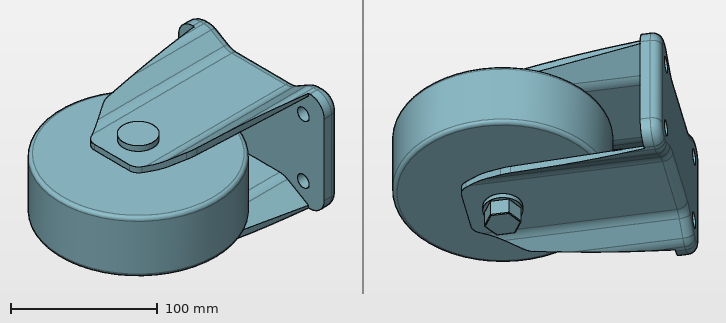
import cadquery as cq
import math


overall_length = 198.0

wheel_diameter = 150.0
wheel_width = 50.0
wheel_edge_radius = 3.0

plate_width = 140.2
plate_height = 96.2
plate_thickness = 14.0
plate_corner_radius = 13.9
plate_edge_radius = plate_thickness / 2
plate_back_y = overall_length - wheel_diameter / 2
plate_front_y = plate_back_y - plate_thickness
plate_top_z = plate_height / 2

hole_diameter = 11.0
hole_spacing_x = 100.0
hole_spacing_z = 56.0

leg_thickness = 5.0
slope_angle = math.radians(30)
waist_flat_half = 26.0
waist_radius = 15.0
shoulder_half = 52.9
shoulder_radius = 13.9

leg_root_half = 55.0
leg_knee_half = 42.2
leg_knee_y = 9.7
leg_knee_radius = 20.0
leg_tip_half = 22.0
leg_tip_y = -25.3
leg_tip_radius = 9.0

axle_diameter = 20.0
head_diameter = 28.5
head_top_z = 41.8
washer_diameter = 27.3
washer_thickness = 3.5
nut_sides = 6
nut_across_flats = 22.2
nut_bottom_z = -52.9
nut_chamfer = 0.5

slope_sin = math.sin(slope_angle)
slope_cos = math.cos(slope_angle)
slope_tan = math.tan(slope_angle)
slope_top_x = shoulder_half - shoulder_radius * slope_sin
slope_top_z = plate_top_z - shoulder_radius * (1 - slope_cos)
slope_foot_x = waist_flat_half + waist_radius * slope_sin
slope_foot_z = slope_top_z - (slope_top_x - slope_foot_x) * slope_tan
waist_z = slope_foot_z - waist_radius * (1 - slope_cos)


def arc_middle(center, radius, angle):
    """Point on a circle at an angle measured from +X."""
    return (center[0] + radius * math.cos(angle), center[1] + radius * math.sin(angle))


waist_arc_center = (waist_flat_half, waist_z + waist_radius)
waist_arc_angle = -math.pi / 2 + slope_angle / 2
shoulder_arc_center = (shoulder_half, plate_top_z - shoulder_radius)
shoulder_arc_angle = math.pi / 2 + slope_angle / 2


def outer_waist(sketch):
    """Continue a sketch from the middle of the waist to the +X shoulder."""
    return (
        sketch.lineTo(waist_flat_half, waist_z)
        .threePointArc(
            arc_middle(waist_arc_center, waist_radius, waist_arc_angle),
            (slope_foot_x, slope_foot_z),
        )
        .lineTo(slope_top_x, slope_top_z)
        .threePointArc(
            arc_middle(shoulder_arc_center, shoulder_radius, shoulder_arc_angle),
            (shoulder_half, plate_top_z),
        )
    )


def mirrored_quarters(quarter):
    """Join a +X +Z quarter with its mirror images."""
    half = quarter.union(quarter.mirror("YZ"))
    return half.union(half.mirror("XY")).clean()


def make_plate():
    corner_x = plate_width / 2 - plate_corner_radius
    corner_z = plate_top_z - plate_corner_radius
    sketch = cq.Workplane("XZ", origin=(0, plate_back_y, 0)).moveTo(0, 0).lineTo(0, waist_z)
    quarter = (
        outer_waist(sketch)
        .lineTo(corner_x, plate_top_z)
        .threePointArc(
            arc_middle((corner_x, corner_z), plate_corner_radius, math.pi / 4),
            (plate_width / 2, corner_z),
        )
        .lineTo(plate_width / 2, 0)
        .close()
        .extrude(plate_thickness)
    )
    plate = mirrored_quarters(quarter).faces(">Y").edges().fillet(plate_edge_radius)
    holes = (
        cq.Workplane("XZ", origin=(0, plate_back_y, 0))
        .rarray(hole_spacing_x, hole_spacing_z, 2, 2)
        .circle(hole_diameter / 2)
        .extrude(plate_thickness)
    )
    return plate.cut(holes)


def make_bent_sheets():
    """Both legs before trimming: bent sheets following the waist of the plate.

    Flats and slopes are one leg thickness deep; both faces bend at the same radius.
    """
    inner_z = waist_z - leg_thickness
    bend_x = waist_flat_half + (waist_radius + leg_thickness) * math.tan(slope_angle / 2)
    tangent_length = waist_radius * math.tan(slope_angle / 2)
    inner_flat_half = bend_x - tangent_length
    inner_arc_center = (inner_flat_half, inner_z + waist_radius)
    inner_foot_x = bend_x + tangent_length * slope_cos
    inner_foot_z = inner_z + tangent_length * slope_sin
    sheet_end_x = plate_width / 2 - plate_corner_radius
    inner_end_z = inner_foot_z + (sheet_end_x - inner_foot_x) * slope_tan
    sketch = (
        cq.Workplane("XZ", origin=(0, plate_front_y, 0))
        .moveTo(0, inner_z)
        .lineTo(0, waist_z)
    )
    quarter = (
        outer_waist(sketch)
        .lineTo(sheet_end_x, plate_top_z)
        .lineTo(sheet_end_x, inner_end_z)
        .lineTo(inner_foot_x, inner_foot_z)
        .threePointArc(
            arc_middle(inner_arc_center, waist_radius, waist_arc_angle),
            (inner_flat_half, inner_z),
        )
        .close()
        .extrude(plate_front_y - leg_tip_y)
    )
    return mirrored_quarters(quarter)


def make_leg_outline():
    """Tapered block, rounded at the knees and tip, that trims both legs."""
    half_outline = [
        (leg_root_half, plate_front_y),
        (leg_knee_half, leg_knee_y),
        (leg_tip_half, leg_tip_y),
    ]
    other_half = [(-x, y) for x, y in reversed(half_outline)]
    outline = (
        cq.Workplane("XY", origin=(0, 0, -plate_top_z))
        .polyline(half_outline + other_half)
        .close()
        .extrude(plate_height)
    )
    for x, y, radius in (
        (leg_knee_half, leg_knee_y, leg_knee_radius),
        (leg_tip_half, leg_tip_y, leg_tip_radius),
    ):
        for side in (-1, 1):
            corner = cq.selectors.NearestToPointSelector((side * x, y, 0))
            outline = outline.edges("|Z").edges(corner).fillet(radius)
    return outline


def make_wheel():
    return (
        cq.Workplane("XY")
        .cylinder(wheel_width, wheel_diameter / 2)
        .edges("%CIRCLE")
        .fillet(wheel_edge_radius)
    )


def disc(diameter, bottom_z, top_z):
    return (
        cq.Workplane("XY", origin=(0, 0, bottom_z))
        .circle(diameter / 2)
        .extrude(top_z - bottom_z)
    )


def make_nut(top_z):
    """Hexagon with corners at +Y and -Y and a chamfered lower face."""
    across_corners = nut_across_flats / math.cos(math.pi / nut_sides)
    height = top_z - nut_bottom_z
    return (
        cq.Workplane("XY", origin=(0, 0, nut_bottom_z))
        .transformed(rotate=(0, 0, 90))
        .polygon(nut_sides, across_corners)
        .extrude(height)
        .faces("<Z")
        .chamfer(nut_chamfer)
    )


def make_axle():
    washer_bottom_z = -waist_z - washer_thickness
    shaft = disc(axle_diameter, -waist_z, waist_z)
    head = disc(head_diameter, waist_z, head_top_z)
    washer = disc(washer_diameter, washer_bottom_z, -waist_z)
    return shaft.union(head).union(washer).union(make_nut(washer_bottom_z))


legs = make_bent_sheets().intersect(make_leg_outline())
result = make_plate().union(legs).union(make_axle()).union(make_wheel())